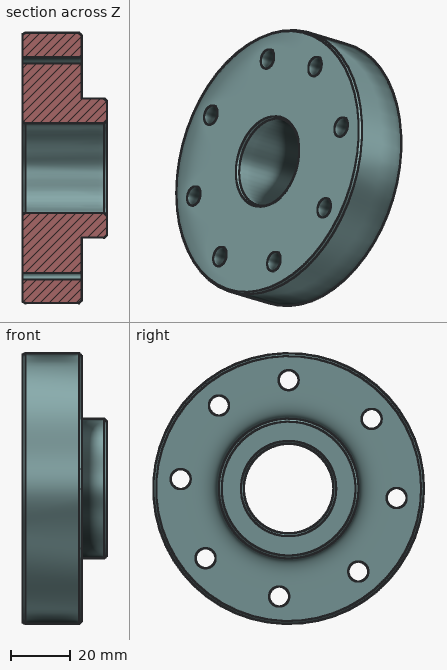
import cadquery as cq
import math

flange_diameter = 91.0
flange_thickness = 20.0
hub_diameter = 46.9
total_length = 28.5
bore_diameter = 30.0
edge_length = 1.0
back_edge_angle = 30.0
back_edge_depth = edge_length * math.tan(math.radians(back_edge_angle))
hub_side_edge_depth = edge_length

bolt_circle_radius = 36.4
bolt_hole_diameter = 6.6
bolt_pitch = 45.0
first_offset_angle = 40.0
offset_hole_count = 7
bolt_angles = [0.0] + [first_offset_angle + bolt_pitch * i for i in range(offset_hole_count)]


def make_body():
    """Revolve the flange, hub and chamfered bore about the X axis."""
    flange_radius = flange_diameter / 2
    hub_radius = hub_diameter / 2
    bore_radius = bore_diameter / 2
    profile = [
        (0, bore_radius + back_edge_depth),
        (0, flange_radius - back_edge_depth),
        (edge_length, flange_radius),
        (flange_thickness - edge_length, flange_radius),
        (flange_thickness, flange_radius - hub_side_edge_depth),
        (flange_thickness, hub_radius),
        (total_length - edge_length, hub_radius),
        (total_length, hub_radius - hub_side_edge_depth),
        (total_length, bore_radius + hub_side_edge_depth),
        (total_length - edge_length, bore_radius),
        (edge_length, bore_radius),
    ]
    return cq.Workplane("XY").polyline(profile).close().revolve(360, (0, 0, 0), (1, 0, 0))


def make_bolt_holes():
    """Cylinders that pierce the flange parallel to X."""
    centers = []
    for angle in bolt_angles:
        turn = math.radians(angle)
        centers.append((-bolt_circle_radius * math.sin(turn), bolt_circle_radius * math.cos(turn)))
    return cq.Workplane("YZ").pushPoints(centers).circle(bolt_hole_diameter / 2).extrude(flange_thickness)


result = make_body().cut(make_bolt_holes())